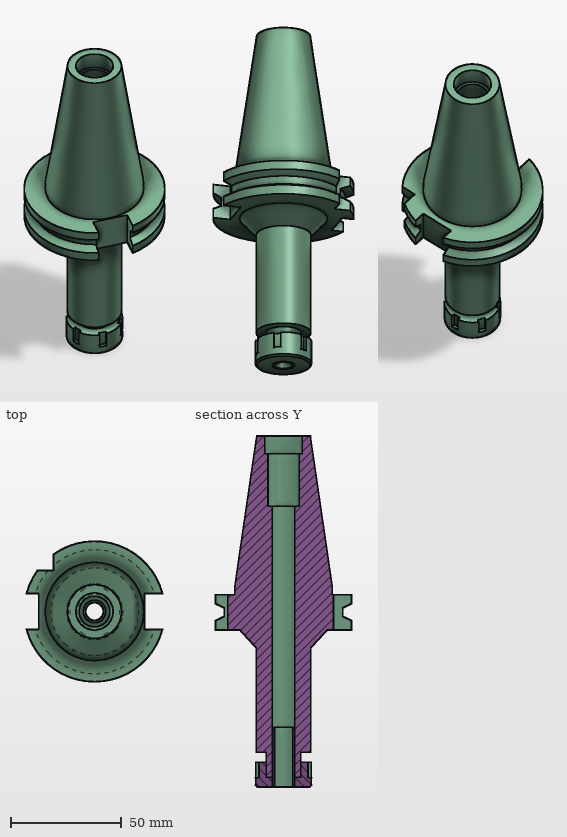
import cadquery as cq


total_height = 158.4
gauge_z = 90.0
collar_height = 3.2
flange_top_z = gauge_z - collar_height
flange_height = 16.0
flange_bottom_z = flange_top_z - flange_height
cone_height = 8.0
cone_bottom_z = flange_bottom_z - cone_height
shank_bottom_z = 15.7

taper_ratio = 7 / 24
gauge_radius = 22.2
taper_top_radius = gauge_radius - (total_height - gauge_z) * taper_ratio / 2
flange_diameter = 63.5
flange_radius = flange_diameter / 2
cone_radius = 19.8
shank_radius = 12.4
neck_diameter = 16.0
neck_radius = neck_diameter / 2

groove_z = 78.9
groove_floor_radius = 28.0
groove_floor_width = 3.8
groove_mouth_width = 7.6

drive_slot_width = 16.2
left_slot_floor = 25.2
right_slot_floor = 22.7
notch_offset = 18.5

counterbore_radius = 8.4
counterbore_depth = 7.9
thread_radius = 7.0
thread_bottom_depth = 31.7
bore_radius = 5.0

nut_radius = 12.7
nut_height = 11.2
nut_chamfer = 0.8
nut_lip_height = 4.3
wrench_slot_count = 6
wrench_slot_width = 3.3
wrench_slot_floor = 11.1
wrench_slot_bottom_z = nut_lip_height

collet_bore_radius = 4.0
collet_length = 27.0

cut_clearance = 1.6


def cylinder(radius, bottom_z, top_z):
    """Vertical cylinder on the axis between two heights."""
    return cq.Workplane("XY").workplane(offset=bottom_z).circle(radius).extrude(top_z - bottom_z)


def flange_cutter(x_min, x_max, y_min, y_max):
    """Block that cuts through the full height of the flange."""
    return (
        cq.Workplane("XY")
        .workplane(offset=flange_bottom_z)
        .moveTo((x_min + x_max) / 2, (y_min + y_max) / 2)
        .rect(x_max - x_min, y_max - y_min)
        .extrude(flange_height)
    )


def make_arbor_blank():
    """Turned outside of the arbor, without its bore."""
    half_mouth = groove_mouth_width / 2
    half_floor = groove_floor_width / 2
    profile = [
        (0, nut_lip_height),
        (neck_radius, nut_lip_height),
        (neck_radius, shank_bottom_z),
        (shank_radius, shank_bottom_z),
        (shank_radius, cone_bottom_z),
        (cone_radius, flange_bottom_z),
        (flange_radius, flange_bottom_z),
        (flange_radius, groove_z - half_mouth),
        (groove_floor_radius, groove_z - half_floor),
        (groove_floor_radius, groove_z + half_floor),
        (flange_radius, groove_z + half_mouth),
        (flange_radius, flange_top_z),
        (gauge_radius, flange_top_z),
        (gauge_radius, gauge_z),
        (taper_top_radius, total_height),
        (0, total_height),
    ]
    return cq.Workplane("XZ").polyline(profile).close().revolve(360, (0, 0, 0), (0, 1, 0))


def make_arbor():
    """Arbor with drive slots, orientation notch and stepped bore."""
    half_slot = drive_slot_width / 2
    outside = flange_radius + cut_clearance
    left_slot = flange_cutter(-outside, -left_slot_floor, -half_slot, half_slot)
    right_slot = flange_cutter(right_slot_floor, outside, -half_slot, half_slot)
    notch = flange_cutter(-outside, -notch_offset, notch_offset, outside)

    counterbore = cylinder(counterbore_radius, total_height - counterbore_depth, total_height)
    thread_hole = cylinder(thread_radius, total_height - thread_bottom_depth, total_height)
    through_bore = cylinder(bore_radius, 0, total_height)

    arbor = make_arbor_blank()
    for cutter in (left_slot, right_slot, notch, counterbore, thread_hole, through_bore):
        arbor = arbor.cut(cutter)
    return arbor


def make_nut():
    """Round nut with a recess for the arbor neck and wrench slots open at the top."""
    nut = cylinder(nut_radius, 0, nut_height).faces("<Z").chamfer(nut_chamfer)
    nut = nut.cut(cylinder(neck_radius, nut_lip_height, nut_height))
    nut = nut.cut(cylinder(bore_radius, 0, nut_height))
    slot_length = nut_radius - wrench_slot_floor + cut_clearance
    wrench_slot = (
        cq.Workplane("XY")
        .workplane(offset=wrench_slot_bottom_z)
        .center(wrench_slot_floor + slot_length / 2, 0)
        .rect(slot_length, wrench_slot_width)
        .extrude(nut_height - wrench_slot_bottom_z)
    )
    for index in range(wrench_slot_count):
        angle = index * 360 / wrench_slot_count
        nut = nut.cut(wrench_slot.rotate((0, 0, 0), (0, 0, 1), angle))
    return nut


def make_collet():
    """Sleeve that fills the lower end of the arbor bore and the nut opening."""
    return cylinder(bore_radius, 0, collet_length).cut(cylinder(collet_bore_radius, 0, collet_length))


arbor = make_arbor()
nut = make_nut()
collet = make_collet()

result = cq.Compound.makeCompound([arbor.val(), nut.val(), collet.val()])